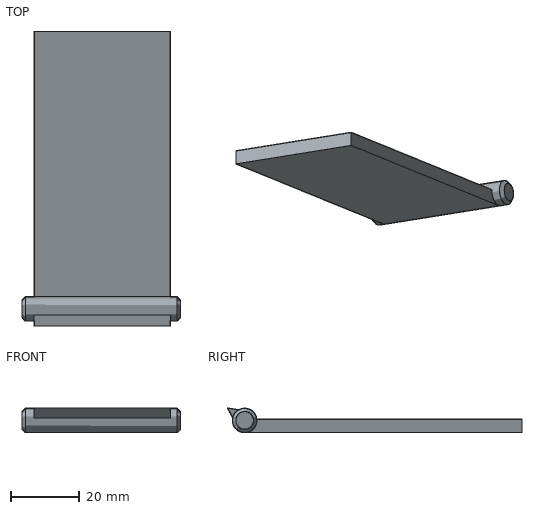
import cadquery as cq
import math

pin_radius = 3.6
pin_chamfer = 1.0
left_overhang = 3.6
right_overhang = 3.0

plate_width = 40.0
plate_thickness = 4.0
plate_end_y = 81.57

lip_tip_y = -5.08
lip_tip_z = 3.69
lip_base_width = 3.0

plate_left = -plate_width / 2
pin_left = plate_left - left_overhang
pin_length = left_overhang + plate_width + right_overhang


def make_pin():
    pin = cq.Workplane("YZ", origin=(pin_left, 0, 0)).circle(pin_radius).extrude(pin_length)
    return pin.faces("<X or >X").edges().chamfer(pin_chamfer)


def make_plate():
    corner = (plate_left, 0, -pin_radius)
    return cq.Workplane("XY").box(plate_width, plate_end_y, plate_thickness, centered=False).translate(corner)


def make_lip():
    tip_angle = math.atan2(lip_tip_z, lip_tip_y)
    half_base_angle = math.asin(lip_base_width / 2 / pin_radius)

    def point_on_pin(angle):
        return (pin_radius * math.cos(angle), pin_radius * math.sin(angle))

    outline = [
        point_on_pin(tip_angle - half_base_angle),
        (lip_tip_y, lip_tip_z),
        point_on_pin(tip_angle + half_base_angle),
    ]
    return cq.Workplane("YZ", origin=(plate_left, 0, 0)).polyline(outline).close().extrude(plate_width)


result = make_pin().union(make_plate()).union(make_lip())